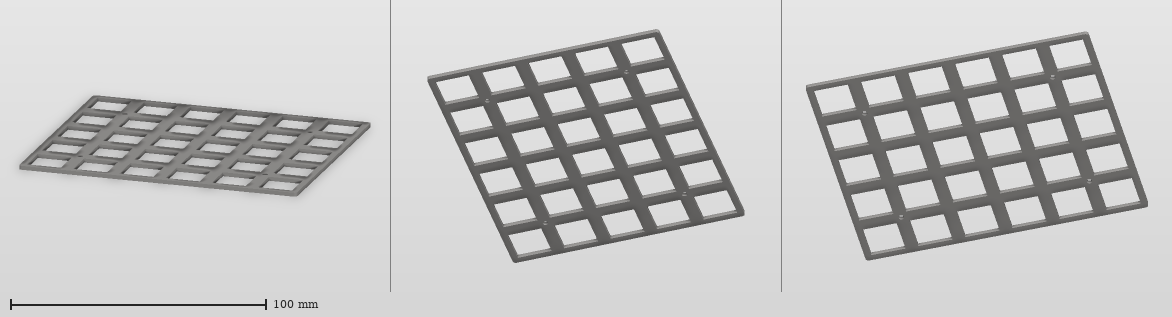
import cadquery as cq

length = 114.5
width = 95.2
thickness = 1.6
corner_radius = 1.3

columns = 6
rows = 5
pitch = width / rows
opening = 14.0

hole_diameter = 2.2
hole_spacing_x = (columns - 2) * pitch
hole_spacing_y = (rows - 2) * pitch


def make_plate():
    """Flat rectangular plate with rounded corners, resting on Z = 0."""
    plate = cq.Workplane("XY").rect(length, width).extrude(thickness)
    return plate.edges("|Z").fillet(corner_radius)


def cut_key_openings(plate):
    """Square through openings, one per grid cell."""
    grid = plate.faces(">Z").workplane().rarray(pitch, pitch, columns, rows)
    return grid.rect(opening, opening).cutThruAll()


def cut_screw_holes(plate):
    """Four through holes, one cell in from each corner of the grid."""
    corners = plate.faces(">Z").workplane().rarray(hole_spacing_x, hole_spacing_y, 2, 2)
    return corners.hole(hole_diameter)


result = cut_screw_holes(cut_key_openings(make_plate()))